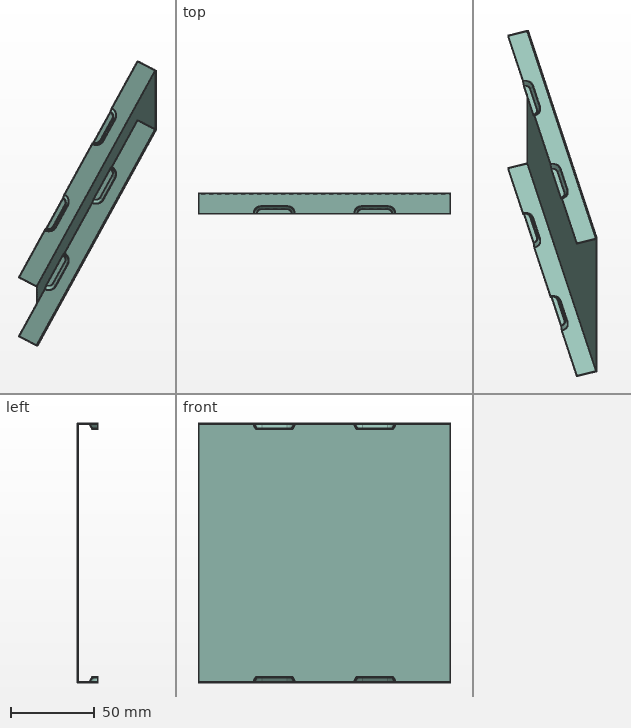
import cadquery as cq
import math

width = 150.0
depth = 12.5
height = 154.5
sheet = 0.6
bend_radius = 0.54

dimple_spacing = 60.0
dimple_straight = 15.0
mouth_radius = 4.6
hollow_depth = 3.0
wall_angle = 30.0

front_y = -depth / 2
top_z = height / 2
wall_offset = sheet / math.cos(math.radians(wall_angle))


def channel():
    """U-shaped sheet, open towards -Y."""
    outer = cq.Workplane("XY").box(width, depth, height).edges("|X and >Y").fillet(bend_radius)
    inner = cq.Workplane("XY").box(width, depth, height - 2 * sheet).translate((0, -sheet, 0))
    return outer.cut(inner)


def tapered_slot(center_x, radius, press_depth):
    """Round-ended plug narrowing downwards from the top face, kept behind the free edge."""
    plug = (
        cq.Workplane("XY", origin=(center_x, front_y, top_z))
        .slot2D(dimple_straight + 2 * radius, 2 * radius)
        .extrude(-press_depth, taper=wall_angle)
    )
    keep = cq.Workplane("XY").box(width, depth, height)
    return plug.intersect(keep)


def add_dimple(body, center_x, mirrored):
    """Press one dimple into the top flange, or into the bottom flange when mirrored."""
    shell = tapered_slot(center_x, mouth_radius + wall_offset, hollow_depth + sheet)
    hollow = tapered_slot(center_x, mouth_radius, hollow_depth)
    if mirrored:
        shell = shell.mirror("XY")
        hollow = hollow.mirror("XY")
    return body.union(shell).cut(hollow)


result = channel()
for dimple_x in (-dimple_spacing / 2, dimple_spacing / 2):
    for on_bottom in (False, True):
        result = add_dimple(result, dimple_x, on_bottom)